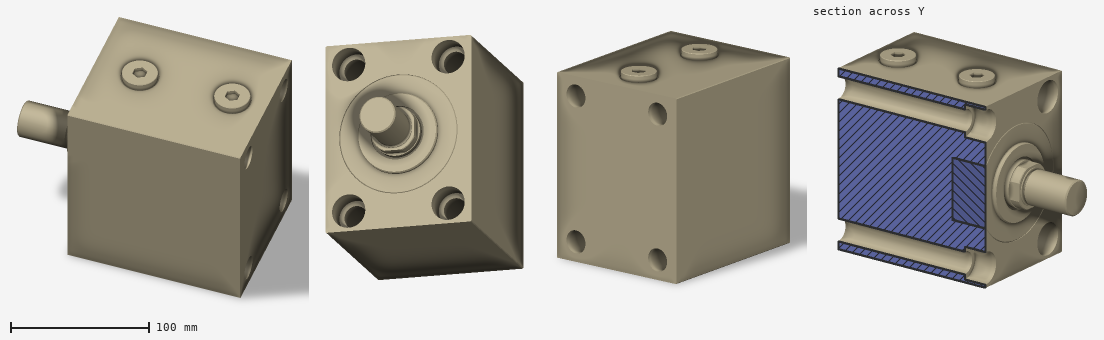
import cadquery as cq
import math


OVERALL_LENGTH = 187.0
OVERALL_HEIGHT = 145.0

HOUSING_LENGTH = 133.0
HOUSING_WIDTH = 110.0
HOUSING_HEIGHT = 140.0
HOUSING_EDGE_CHAMFER = 0.5
TOP_Z = HOUSING_HEIGHT / 2

MOUNT_SPACING_Y = 75.0
MOUNT_SPACING_Z = 110.0
MOUNT_HOLE_DIAMETER = 17.4
MOUNT_HEAD_DIAMETER = 25.0
MOUNT_HEAD_DEPTH = 18.7

GLAND_DIAMETER = 89.2
GLAND_DEPTH = 30.0
GLAND_EDGE_CHAMFER = 0.7
BOSS_DIAMETER = 60.0
BOSS_HEIGHT = 3.2
BOSS_CHAMFER_LENGTH = 1.1
BOSS_CHAMFER_WIDTH = 0.7

WIPER_DIAMETER = 40.0
WIPER_RECESS = 1.9
WIPER_LENGTH = 3.7
WIPER_START_X = WIPER_RECESS - BOSS_HEIGHT
WIPER_END_X = WIPER_START_X + WIPER_LENGTH

ROD_DIAMETER = 36.0
ROD_OVERHANG = OVERALL_LENGTH - HOUSING_LENGTH
THREAD_DIAMETER = 27.1
THREAD_END = 37.8
THREAD_CHAMFER = 1.0
NECK_DIAMETER = 24.7
NECK_END = 39.0
SHOULDER_DIAMETER = 28.8
FLATS_START = 39.8
FLATS_END = 48.0
FLATS_CORNER_DIAMETER = 35.0
FLATS_CORNER_CHAMFER = 0.5
WIDTH_ACROSS_FLATS = 32.0
FLAT_COUNT = 4

PLUG_POSITIONS_X = (35.9, 107.0)
PLUG_DIAMETER = 26.2
PLUG_HEIGHT = OVERALL_HEIGHT - HOUSING_HEIGHT
PLUG_DEPTH = 15.0
PLUG_CHAMFER = 0.4
PLUG_SPOTFACE_DIAMETER = 28.2
PLUG_SPOTFACE_DEPTH = 0.7
HEX_ACROSS_FLATS = 9.7
HEX_DEPTH = 3.2
HEX_SIDES = 6


def x_cylinder(diameter, start_x, end_x):
    """Solid cylinder on the rod axis between two X stations."""
    return (
        cq.Workplane("YZ", origin=(start_x, 0, 0))
        .circle(diameter / 2)
        .extrude(end_x - start_x)
    )


def revolve_about_x(profile):
    """Revolve a closed (X, radius) profile about the rod axis."""
    return cq.Workplane("XY").polyline(profile).close().revolve(360, (0, 0, 0), (1, 0, 0))


def z_cylinder(diameter, center_x, start_z, end_z):
    """Solid vertical cylinder in the plane Y = 0."""
    return (
        cq.Workplane("XY", origin=(center_x, 0, start_z))
        .circle(diameter / 2)
        .extrude(end_z - start_z)
    )


def make_gland_blank():
    """Gland disc with its raised boss, before the bores are cut."""
    gland_radius = GLAND_DIAMETER / 2
    boss_radius = BOSS_DIAMETER / 2
    return revolve_about_x([
        (GLAND_DEPTH, 0),
        (GLAND_DEPTH, gland_radius),
        (GLAND_EDGE_CHAMFER, gland_radius),
        (0, gland_radius - GLAND_EDGE_CHAMFER),
        (0, boss_radius),
        (BOSS_CHAMFER_LENGTH - BOSS_HEIGHT, boss_radius),
        (-BOSS_HEIGHT, boss_radius - BOSS_CHAMFER_WIDTH),
        (-BOSS_HEIGHT, 0),
    ])


def make_housing():
    block = (
        cq.Workplane("XY")
        .box(HOUSING_LENGTH, HOUSING_WIDTH, HOUSING_HEIGHT, centered=(False, True, True))
        .edges("|X")
        .chamfer(HOUSING_EDGE_CHAMFER)
    )
    block = (
        block.faces("<X")
        .workplane(origin=(0, 0, 0))
        .rarray(MOUNT_SPACING_Y, MOUNT_SPACING_Z, 2, 2)
        .cboreHole(MOUNT_HOLE_DIAMETER, MOUNT_HEAD_DIAMETER, MOUNT_HEAD_DEPTH)
    )
    block = block.cut(x_cylinder(GLAND_DIAMETER, 0, GLAND_DEPTH))
    for center_x in PLUG_POSITIONS_X:
        block = block.cut(z_cylinder(PLUG_DIAMETER, center_x, TOP_Z - PLUG_DEPTH, TOP_Z))
        block = block.cut(
            z_cylinder(PLUG_SPOTFACE_DIAMETER, center_x, TOP_Z - PLUG_SPOTFACE_DEPTH, TOP_Z)
        )
    return block


def make_gland():
    rod_bore = x_cylinder(ROD_DIAMETER, -BOSS_HEIGHT, GLAND_DEPTH)
    wiper_seat = x_cylinder(WIPER_DIAMETER, -BOSS_HEIGHT, WIPER_END_X)
    return make_gland_blank().cut(rod_bore).cut(wiper_seat)


def make_wiper():
    ring = x_cylinder(WIPER_DIAMETER, WIPER_START_X, WIPER_END_X)
    return ring.cut(x_cylinder(ROD_DIAMETER, WIPER_START_X, WIPER_END_X))


def make_rod():
    tip_x = -ROD_OVERHANG
    thread_end_x = tip_x + THREAD_END
    shoulder_x = tip_x + NECK_END
    flats_start_x = tip_x + FLATS_START
    flats_end_x = tip_x + FLATS_END
    thread_radius = THREAD_DIAMETER / 2
    corner_radius = FLATS_CORNER_DIAMETER / 2
    rod_radius = ROD_DIAMETER / 2
    rod = revolve_about_x([
        (tip_x, 0),
        (tip_x, thread_radius - THREAD_CHAMFER),
        (tip_x + THREAD_CHAMFER, thread_radius),
        (thread_end_x - THREAD_CHAMFER, thread_radius),
        (thread_end_x, NECK_DIAMETER / 2),
        (shoulder_x, NECK_DIAMETER / 2),
        (shoulder_x, SHOULDER_DIAMETER / 2),
        (flats_start_x, SHOULDER_DIAMETER / 2),
        (flats_start_x, corner_radius - FLATS_CORNER_CHAMFER),
        (flats_start_x + FLATS_CORNER_CHAMFER, corner_radius),
        (flats_end_x, corner_radius),
        (flats_end_x, rod_radius),
        (GLAND_DEPTH, rod_radius),
        (GLAND_DEPTH, 0),
    ])
    flat_cutter = cq.Workplane("XY").box(
        FLATS_END - FLATS_START, ROD_DIAMETER, ROD_DIAMETER, centered=(False, True, False)
    ).translate((flats_start_x, 0, WIDTH_ACROSS_FLATS / 2))
    for index in range(FLAT_COUNT):
        angle = index * 360 / FLAT_COUNT
        rod = rod.cut(flat_cutter.rotate((0, 0, 0), (1, 0, 0), angle))
    return rod


def make_plug(center_x):
    plug_top = TOP_Z + PLUG_HEIGHT
    hex_corner_diameter = HEX_ACROSS_FLATS / math.cos(math.pi / HEX_SIDES)
    hex_socket = (
        cq.Workplane("XY", origin=(center_x, 0, plug_top))
        .transformed(rotate=(0, 0, 180 / HEX_SIDES))
        .polygon(HEX_SIDES, hex_corner_diameter)
        .extrude(-HEX_DEPTH)
    )
    plug_body = z_cylinder(PLUG_DIAMETER, center_x, TOP_Z - PLUG_DEPTH, plug_top)
    return plug_body.faces(">Z").chamfer(PLUG_CHAMFER).cut(hex_socket)


housing = make_housing()
gland = make_gland()
wiper = make_wiper()
rod = make_rod()
plugs = [make_plug(center_x) for center_x in PLUG_POSITIONS_X]

result = cq.Compound.makeCompound([
    housing.val(),
    gland.val(),
    wiper.val(),
    rod.val(),
    *[plug.val() for plug in plugs],
])